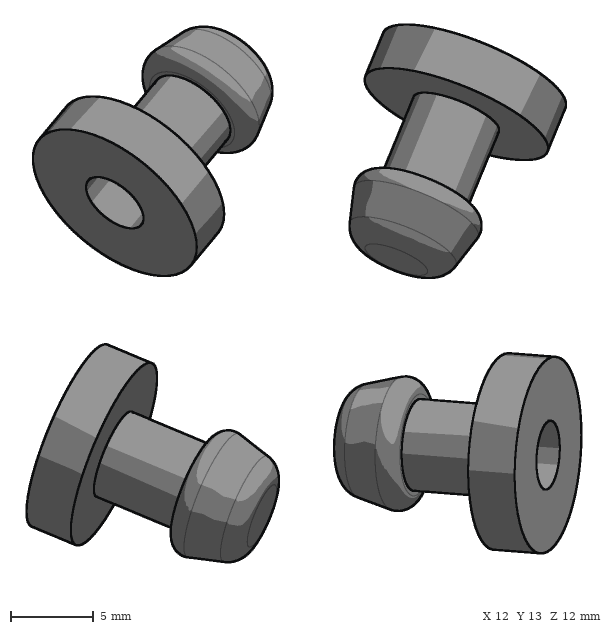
import cadquery as cq
import math

total_length = 13.0
flange_diameter = 12.0
flange_thickness = 3.0
shank_diameter = 5.6
head_length = 4.55
head_widest_diameter = 8.22
head_taper_angle = 15.0
head_shoulder_fillet = 1.0
head_nose_fillet = 1.5
hole_diameter = 4.2
hole_depth = 8.45
drill_point_angle = 118.0

head_start = total_length - head_length


def cylinder_along_y(diameter, start, length):
    plane = cq.Workplane("XZ", origin=(0, start, 0))
    return plane.circle(diameter / 2).extrude(-length)


def tapered_head():
    """Truncated cone, narrowing toward +Y, with both rims rounded."""
    taper = math.radians(head_taper_angle)
    fillet_center_radius = head_widest_diameter / 2 - head_shoulder_fillet
    rim_offset = head_shoulder_fillet * (1 / math.cos(taper) + math.tan(taper))
    shoulder_radius = fillet_center_radius + rim_offset
    nose_radius = shoulder_radius - head_length * math.tan(taper)
    profile = cq.Workplane("XY").polyline([
        (0, head_start),
        (shoulder_radius, head_start),
        (nose_radius, total_length),
        (0, total_length),
    ]).close()
    cone = profile.revolve(360, (0, 0, 0), (0, 1, 0))
    cone = cone.faces("<Y").edges().fillet(head_shoulder_fillet)
    return cone.faces(">Y").edges().fillet(head_nose_fillet)


def drilled_hole():
    """Blind hole from the flange face, ending in a conical drill point."""
    radius = hole_diameter / 2
    point_length = radius / math.tan(math.radians(drill_point_angle / 2))
    profile = cq.Workplane("XY").polyline([
        (0, 0),
        (radius, 0),
        (radius, hole_depth),
        (0, hole_depth + point_length),
    ]).close()
    return profile.revolve(360, (0, 0, 0), (0, 1, 0))


flange = cylinder_along_y(flange_diameter, 0, flange_thickness)
shank = cylinder_along_y(shank_diameter, 0, head_start)

result = flange.union(shank).union(tapered_head()).cut(drilled_hole())